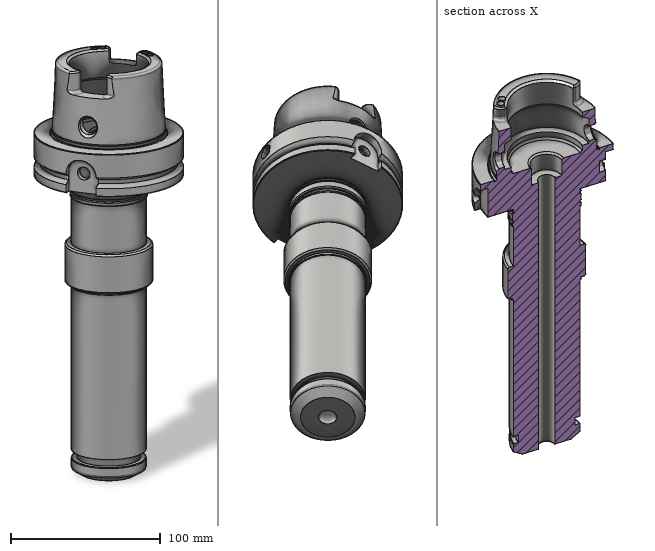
import cadquery as cq
import math


total_height = 288.0
through_bore_radius = 12.0 / 2

shank_radius = 50.0 / 2
nose_face_radius = 18.0
nose_cone_height = 4.0
nose_edge_height = 5.2
nose_edge_inset = 0.3
neck_radius = 42.5 / 2
neck_bottom = 11.2
neck_top = 17.0
shoulder_chamfer = 0.5

step_radius = 51.8 / 2
step_bottom = 132.2
sleeve_radius = 58.8 / 2
sleeve_bottom = 134.0
sleeve_top = 161.3
sleeve_chamfer = 1.2
collar_bottom = 194.0
collar_top = 207.5
collar_chamfer = 0.5
collar_groove_heights = (198.0, 205.3)
collar_groove_width = 2.5
collar_groove_floor_width = 1.2

flange_radius = 100.0 / 2
flange_bottom = 208.5
flange_top = 238.2
flange_chamfer = 0.43
grip_middle = 218.0
grip_width = 7.5
grip_floor_width = 3.0
grip_floor_radius = 46.0
keyway_radius = 21.5 / 2
keyway_axis_height = 222.0
keyway_flat_offset = 44.0
keyway_hole_radius = 9.0 / 2
keyway_hole_depth = 4.3
chip_hole_radius = 10.0 / 2
chip_hole_height = 231.0
chip_hole_depth = 4.5

taper_base_radius = 76.0 / 2
taper_slope = 0.05
taper_rim_fillet = 1.7
relief_outer_radius = 39.5
relief_root_radius = 37.5
relief_depth = 1.2
relief_height = 3.0
relief_bevel = 1.2

mouth_radius = 56.5 / 2
cavity_radius = 53.0 / 2
mouth_depth = 1.5
undercut_radius = 63.0 / 2
undercut_top = 268.5
undercut_bottom = 244.8
undercut_angle = 30.0
cavity_floor = 239.0
floor_radius = 50.0 / 2
hub_outer_radius = 25.0 / 2
hub_inner_radius = 22.5 / 2
hub_depth = 14.5

slot_end_radius = 5.5
slot_end_circle = 30.8
slot_end_angle = 60.0
front_slot_floor = 272.7
back_slot_floor = 278.2
slot_floor_fillet = 2.5
slot_rim_chamfer = 1.2
dimple_radius = 5.0 / 2
dimple_depth = 3.0
dimple_angles = (50.0, 60.0)

cross_hole_height = 253.0
cross_hole_radius = 12.0 / 2
cross_hole_mouth_radius = 7.5


def taper_radius(height):
    return taper_base_radius - taper_slope * (height - flange_top)


def revolve_profile(points):
    return cq.Workplane("XZ").polyline(points).close().revolve(360, (0, 0, 0), (0, 1, 0))


def outer_body():
    grip_low = grip_middle - grip_width / 2
    grip_high = grip_middle + grip_width / 2
    grip_floor_low = grip_middle - grip_floor_width / 2
    grip_floor_high = grip_middle + grip_floor_width / 2
    relief_bottom = flange_top - relief_depth
    relief_top = flange_top + relief_height
    profile = [
        (0, 0),
        (nose_face_radius, 0),
        (shank_radius - nose_edge_inset, nose_cone_height),
        (shank_radius, nose_edge_height),
        (shank_radius, neck_bottom - shoulder_chamfer),
        (shank_radius - shoulder_chamfer, neck_bottom),
        (neck_radius, neck_bottom),
        (neck_radius, neck_top),
        (shank_radius, neck_top),
        (shank_radius, step_bottom),
        (step_radius, step_bottom),
        (step_radius, sleeve_bottom),
        (sleeve_radius - sleeve_chamfer, sleeve_bottom),
        (sleeve_radius, sleeve_bottom + sleeve_chamfer),
        (sleeve_radius, sleeve_top - sleeve_chamfer),
        (sleeve_radius - sleeve_chamfer, sleeve_top),
        (shank_radius, sleeve_top),
        (shank_radius, collar_bottom),
        (step_radius - collar_chamfer, collar_bottom),
        (step_radius, collar_bottom + collar_chamfer),
        (step_radius, collar_top - collar_chamfer),
        (step_radius - collar_chamfer, collar_top),
        (shank_radius, collar_top),
        (shank_radius, flange_bottom),
        (flange_radius - flange_chamfer, flange_bottom),
        (flange_radius, flange_bottom + flange_chamfer),
        (flange_radius, grip_low),
        (grip_floor_radius, grip_floor_low),
        (grip_floor_radius, grip_floor_high),
        (flange_radius, grip_high),
        (flange_radius, flange_top - flange_chamfer),
        (flange_radius - flange_chamfer, flange_top),
        (relief_outer_radius, flange_top),
        (relief_outer_radius, relief_bottom),
        (relief_root_radius + relief_bevel, relief_bottom),
        (relief_root_radius, relief_bottom + relief_bevel),
        (relief_root_radius, relief_top - relief_bevel),
        (taper_radius(relief_top), relief_top),
        (taper_radius(total_height), total_height),
        (0, total_height),
    ]
    return revolve_profile(profile).faces(">Z").edges().fillet(taper_rim_fillet)


def collar_groove(height):
    half_mouth = collar_groove_width / 2
    half_floor = collar_groove_floor_width / 2
    return revolve_profile([
        (step_radius, height - half_mouth),
        (shank_radius, height - half_floor),
        (shank_radius, height + half_floor),
        (step_radius, height + half_mouth),
    ])


def cavity():
    overhang = (undercut_radius - cavity_radius) * math.tan(math.radians(undercut_angle))
    floor_bevel = cavity_radius - floor_radius
    hub_bevel = hub_outer_radius - hub_inner_radius
    return revolve_profile([
        (0, 0),
        (through_bore_radius, 0),
        (through_bore_radius, cavity_floor - hub_depth),
        (hub_inner_radius, cavity_floor - hub_depth),
        (hub_inner_radius, cavity_floor - hub_bevel),
        (hub_outer_radius, cavity_floor),
        (floor_radius, cavity_floor),
        (cavity_radius, cavity_floor + floor_bevel),
        (cavity_radius, undercut_bottom),
        (undercut_radius, undercut_bottom),
        (undercut_radius, undercut_top - overhang),
        (cavity_radius, undercut_top),
        (cavity_radius, total_height - mouth_depth),
        (mouth_radius, total_height),
        (0, total_height),
    ])


def slot_outline(height, clearance):
    """Slot plan on the +Y side: parallel walls that curve outward to run tangent to the taper."""
    angle = math.radians(slot_end_angle)
    mid_angle = (math.pi + angle) / 2
    radius = slot_end_radius - clearance
    centre_x = slot_end_circle * math.cos(angle)
    centre_y = slot_end_circle * math.sin(angle)
    wall_x = centre_x - radius
    mid_x = centre_x + radius * math.cos(mid_angle)
    mid_y = centre_y + radius * math.sin(mid_angle)
    flare_x = centre_x + radius * math.cos(angle)
    flare_y = centre_y + radius * math.sin(angle)
    outer = flange_radius
    outer_y = flare_y - (outer - flare_x) / math.tan(angle)
    return (
        cq.Workplane("XY", origin=(0, 0, height))
        .moveTo(-wall_x, 0)
        .lineTo(wall_x, 0)
        .lineTo(wall_x, centre_y)
        .threePointArc((mid_x, mid_y), (flare_x, flare_y))
        .lineTo(outer, outer_y)
        .lineTo(outer, outer)
        .lineTo(-outer, outer)
        .lineTo(-outer, outer_y)
        .lineTo(-flare_x, flare_y)
        .threePointArc((-mid_x, mid_y), (-wall_x, centre_y))
        .close()
    )


def drive_slot(floor):
    slot = slot_outline(floor, 0).extrude(total_height - floor)
    slot = slot.faces("<Z").edges().fillet(slot_floor_fillet)
    lower = slot_outline(total_height - slot_rim_chamfer, 0).wires().vals()[0]
    upper = slot_outline(total_height, slot_rim_chamfer).wires().vals()[0]
    flare = cq.Solid.makeLoft([lower, upper], True)
    return slot.union(cq.Workplane(flare))


def drill(radius, depth):
    """Blind drilled hole pointing down from the origin with a conical tip."""
    return revolve_profile([
        (0, 0),
        (radius, 0),
        (radius, radius - depth),
        (0, -depth),
    ])


def keyway():
    length = flange_radius - keyway_flat_offset
    plane = cq.Workplane("XZ", origin=(0, -keyway_flat_offset, keyway_axis_height))
    drop = keyway_axis_height - flange_bottom
    round_end = plane.circle(keyway_radius).extrude(length)
    straight = plane.center(0, -drop / 2).rect(2 * keyway_radius, drop).extrude(length)
    return round_end.union(straight)


def cross_hole():
    reach = taper_radius(cross_hole_height)
    flare = cross_hole_mouth_radius - cross_hole_radius
    outside_radius = cross_hole_mouth_radius + flare
    bore = revolve_profile([
        (0, 0),
        (cross_hole_radius, 0),
        (cross_hole_radius, reach - flare),
        (outside_radius, reach + flare),
        (0, reach + flare),
    ])
    return bore.rotate((0, 0, 0), (1, 0, 0), 90).translate((0, 0, cross_hole_height))


def on_both_sides(feature):
    return feature.union(feature.rotate((0, 0, 0), (0, 0, 1), 180))


def rim_dimples():
    """Drilled dimples in the rim at both ends of the back drive slot."""
    dimple = drill(dimple_radius, dimple_depth)
    dimples = cq.Workplane("XY")
    for degrees in dimple_angles:
        angle = math.radians(degrees)
        x = slot_end_circle * math.cos(angle)
        y = slot_end_circle * math.sin(angle)
        for side in (-1, 1):
            dimples = dimples.add(dimple.translate((side * x, y, total_height)))
    return dimples.combine()


def keyway_hole():
    plane = cq.Workplane("XZ", origin=(0, -keyway_flat_offset, keyway_axis_height))
    return plane.circle(keyway_hole_radius).extrude(-keyway_hole_depth)


def chip_hole():
    plane = cq.Workplane("YZ", origin=(-flange_radius, 0, chip_hole_height))
    return plane.circle(chip_hole_radius).extrude(chip_hole_depth)


result = outer_body().cut(cavity())

for groove_height in collar_groove_heights:
    result = result.cut(collar_groove(groove_height))

result = result.cut(drive_slot(back_slot_floor))
result = result.cut(drive_slot(front_slot_floor).rotate((0, 0, 0), (0, 0, 1), 180))
result = result.cut(rim_dimples())
result = result.cut(on_both_sides(cross_hole()))
result = result.cut(on_both_sides(keyway()))
result = result.cut(keyway_hole())
result = result.cut(chip_hole())